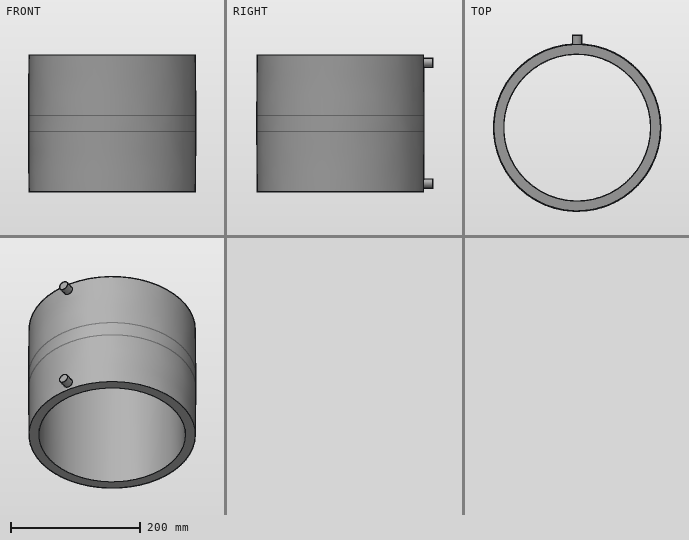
import cadquery as cq

height = 212.0
band_diameter = 259.5
end_diameter = 257.8
bore_diameter = 227.0
band_height = 24.5

overall_depth = 272.8
pin_diameter = 14.7
pin_end_distance = 12.5

band_radius = band_diameter / 2
end_radius = end_diameter / 2
bore_radius = bore_diameter / 2
half_height = height / 2
half_band = band_height / 2
wall_middle = (bore_radius + end_radius) / 2
pin_tip_y = overall_depth - band_radius


def make_sleeve():
    """Revolve the wall: a straight middle band that tapers slightly toward both ends."""
    return (
        cq.Workplane("XZ")
        .moveTo(bore_radius, -half_height)
        .lineTo(end_radius, -half_height)
        .lineTo(band_radius, -half_band)
        .lineTo(band_radius, half_band)
        .lineTo(end_radius, half_height)
        .lineTo(bore_radius, half_height)
        .close()
        .revolve(360, (0, 0, 0), (0, 1, 0))
    )


def make_pin(z):
    """Radial pin rooted inside the wall at height z."""
    return (
        cq.Workplane("XZ", origin=(0, wall_middle, z))
        .circle(pin_diameter / 2)
        .extrude(wall_middle - pin_tip_y)
    )


result = make_sleeve()
for side in (-1, 1):
    result = result.union(make_pin(side * (half_height - pin_end_distance)))